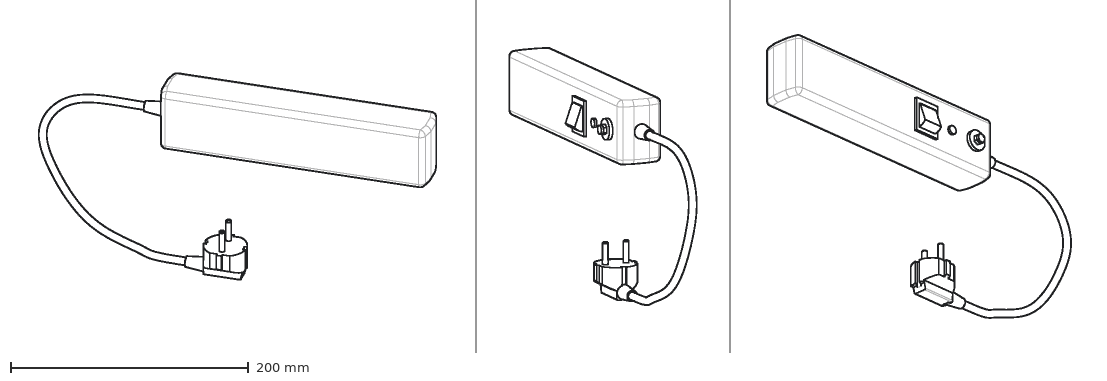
import cadquery as cq
import math


case_length = 236.5
case_depth = 40.0
case_height = 55.5
end_flat_width = 14.5
end_slope_setback = 3.0
end_slope_bulge = 0.2
case_fillet = 5.0

cable_radius = 3.5
boot_tip_radius = 9.5 / 2
boot_root_radius = 13.0 / 2
boot_length = 16.5
boot_overlap = 5.2
case_boot_z = 0.7
plug_boot_tip_x = 19.5
cable_route = [
    (-48.0, 1.0),
    (-85.3, -6.5),
    (-106.5, -37.0),
    (-98.5, -71.8),
    (-79.8, -103.5),
    (-53.5, -126.5),
    (-20.0, -139.7),
]

plug_x = 53.7
plug_radius = 37.0 / 2
plug_top_z = -122.8
plug_bottom_z = -151.0
plug_side_height = 13.5
plug_stem_drop = 20.0
plug_shoulder_y = 13.2
plug_shoulder_drop = 17.5
plug_stem_width = 13.2
plug_flat_y = 16.3
plug_rib_width = 4.5
plug_groove_depth = 2.5
grip_height = 8.0
grip_ledge_height = 6.0
grip_ledge_depth = 2.0
grip_undercut = 3.5
grip_edge_fillet = 1.0
pin_radius = 2.5
pin_length = 19.0
pin_spacing = 19.0
pin_chamfer = 1.0

button_x = 23.5
button_flange_radius = 9.0
button_flange_height = 3.0
button_nut_flats = 7.5
button_nut_height = 6.2
button_height = 8.3
lamp_x = 51.5
lamp_radius = 3.8
switch_x = 82.5
bezel_length = 25.0
bezel_width = 30.5
bezel_height = 2.0
rocker_length = 19.0
rocker_top_z = 10.5
rocker_low_height = 3.0
rocker_peak_z = -7.3
rocker_peak_height = 9.5
rocker_bulge_z = -10.5
rocker_bulge_height = 6.0
rocker_bottom_z = -11.5

back_y = case_depth / 2


def make_case():
    half_flat = end_flat_width / 2
    half_depth = case_depth / 2
    right_corner = case_length - end_slope_setback
    slope_y = (half_flat + half_depth) / 2
    left_slope_x = end_slope_setback / 2 - end_slope_bulge
    right_slope_x = case_length - left_slope_x
    return (
        cq.Workplane("XY", origin=(0, 0, -case_height / 2))
        .moveTo(0, -half_flat)
        .threePointArc((left_slope_x, -slope_y), (end_slope_setback, -half_depth))
        .lineTo(right_corner, -half_depth)
        .threePointArc((right_slope_x, -slope_y), (case_length, -half_flat))
        .lineTo(case_length, half_flat)
        .threePointArc((right_slope_x, slope_y), (right_corner, half_depth))
        .lineTo(end_slope_setback, half_depth)
        .threePointArc((left_slope_x, slope_y), (0, half_flat))
        .close()
        .extrude(case_height)
        .edges("|Z and (>Y or <Y)")
        .fillet(case_fillet)
        .faces("<Z or >Z")
        .edges()
        .fillet(case_fillet)
    )


def make_boot(tip_x, z):
    """Cone that widens toward +X, with a straight root buried in its neighbour."""
    root_x = tip_x + boot_length
    return (
        cq.Workplane("XZ")
        .moveTo(tip_x, z)
        .lineTo(tip_x, z + boot_tip_radius)
        .lineTo(root_x, z + boot_root_radius)
        .lineTo(root_x + boot_overlap, z + boot_root_radius)
        .lineTo(root_x + boot_overlap, z)
        .close()
        .revolve(360, (tip_x, z, 0), (root_x, z, 0))
    )


def make_cable(start, end):
    """Round cable swept from the case boot around to the plug boot."""
    path = cq.Workplane("XZ").spline([start, *cable_route, end], tangents=[(-1, 0), (1, 0)])
    return (
        cq.Workplane("YZ", origin=(start[0], 0, start[1]))
        .circle(cable_radius)
        .sweep(path)
    )


def make_plug_body():
    height = plug_top_z - plug_bottom_z
    base = cq.Workplane("XY", origin=(plug_x, 0, plug_bottom_z))
    body = base.circle(plug_radius).extrude(height)

    body = body.intersect(base.rect(2 * plug_radius, 2 * plug_flat_y).extrude(height))
    body = body.union(base.rect(plug_rib_width, 2 * plug_radius).extrude(height))

    for side in (-1, 1):
        groove = (
            base.center(side * plug_radius, 0)
            .rect(2 * plug_groove_depth, plug_rib_width)
            .extrude(height)
        )
        body = body.cut(groove)

    side_z = plug_top_z - plug_side_height
    shoulder_z = plug_top_z - plug_shoulder_drop
    stem_z = plug_top_z - plug_stem_drop
    half_stem = plug_stem_width / 2
    profile = (
        cq.Workplane("YZ", origin=(plug_x - plug_radius, 0, 0))
        .moveTo(-plug_radius, plug_top_z)
        .lineTo(-plug_radius, side_z)
        .threePointArc((-plug_shoulder_y, shoulder_z), (-half_stem, stem_z))
        .lineTo(-half_stem, plug_bottom_z)
        .lineTo(half_stem, plug_bottom_z)
        .lineTo(half_stem, stem_z)
        .threePointArc((plug_shoulder_y, shoulder_z), (plug_radius, side_z))
        .lineTo(plug_radius, plug_top_z)
        .close()
        .extrude(2 * plug_radius)
    )
    body = body.intersect(profile)

    body = body.faces("<Z").edges("|X").fillet(grip_edge_fillet)

    end_x = plug_x + plug_radius
    undercut = (
        cq.Workplane("XZ", origin=(0, plug_radius, 0))
        .moveTo(end_x, plug_bottom_z + grip_height)
        .lineTo(end_x - grip_ledge_depth, plug_bottom_z + grip_ledge_height)
        .lineTo(end_x - grip_undercut, plug_bottom_z)
        .lineTo(end_x, plug_bottom_z)
        .close()
        .extrude(2 * plug_radius)
    )
    return body.cut(undercut)


def make_pins():
    return (
        cq.Workplane("XY", origin=(plug_x, 0, plug_top_z))
        .pushPoints([(0, -pin_spacing / 2), (0, pin_spacing / 2)])
        .circle(pin_radius)
        .extrude(pin_length)
        .faces(">Z")
        .edges()
        .chamfer(pin_chamfer)
    )


def back_plane(x):
    """Sketch plane on the back of the case that extrudes toward +Y for negative distances."""
    return cq.Workplane("XZ", origin=(x, back_y, 0))


def make_button():
    nut_diameter = button_nut_flats / math.cos(math.pi / 6)
    flange = back_plane(button_x).circle(button_flange_radius).extrude(-button_flange_height)
    nut = (
        back_plane(button_x)
        .transformed(rotate=(0, 0, 90))
        .polygon(6, nut_diameter)
        .extrude(-button_nut_height)
    )
    cap = back_plane(button_x).circle(button_nut_flats / 2).extrude(-button_height)
    return flange.union(nut).union(cap)


def make_lamp():
    return back_plane(lamp_x).circle(lamp_radius).extrude(-bezel_height)


def make_switch():
    bezel = back_plane(switch_x).rect(bezel_length, bezel_width).extrude(-bezel_height)
    lower_bulge = (back_y + rocker_bulge_height, rocker_bulge_z)
    rocker = (
        cq.Workplane("YZ", origin=(switch_x - rocker_length / 2, 0, 0))
        .moveTo(back_y, rocker_top_z)
        .lineTo(back_y + rocker_low_height, rocker_top_z)
        .lineTo(back_y + rocker_peak_height, rocker_peak_z)
        .threePointArc(lower_bulge, (back_y + bezel_height, rocker_bottom_z))
        .lineTo(back_y, rocker_bottom_z)
        .close()
        .extrude(rocker_length)
    )
    return bezel.union(rocker)


case_boot_tip = (-boot_length, case_boot_z)
plug_boot_tip = (plug_boot_tip_x, plug_bottom_z + boot_root_radius)

result = make_case()
for feature in (
    make_boot(*case_boot_tip),
    make_cable(case_boot_tip, plug_boot_tip),
    make_boot(*plug_boot_tip),
    make_plug_body(),
    make_pins(),
    make_button(),
    make_lamp(),
    make_switch(),
):
    result = result.union(feature)